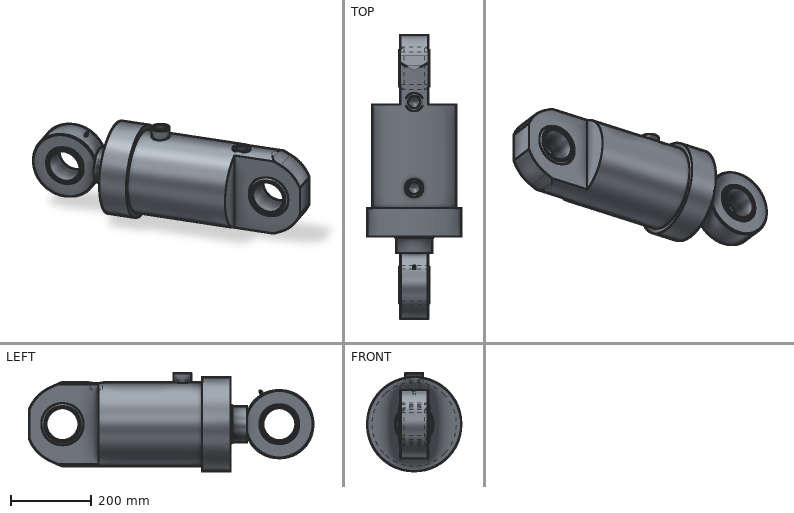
import cadquery as cq
import math


pin_spacing = 540.0
eye_width = 70.0

barrel_diameter = 210.0
flange_diameter = 235.0
barrel_shoulder_y = -90.0
flange_back_y = -348.0
flange_length = 71.0
flange_front_y = flange_back_y - flange_length

lip_diameter = 96.0
lip_tip_diameter = 93.0
lip_length = 4.0
lip_front_y = flange_front_y - lip_length

base_end_y = 83.0
base_arc_radius = 100.0
base_arc_center_y = -10.0
base_slope_angle = 25.0
base_blend_radius = 30.0

port_diameter = 45.0
port_hole_diameter = 30.29
drill_point_angle = 118.0
base_port_y = -84.0
base_port_seat_depth = 2.0
head_port_y = -298.5
overall_height = 245.5
head_port_top_z = overall_height - flange_diameter / 2
head_port_chamfer = 1.2
base_port_hole_depth = 15.0
head_port_hole_depth = 18.0

rod_diameter = 90.0
rod_shank_end_to_pin = 80.0
rod_shank_end_y = rod_shank_end_to_pin - pin_spacing
rod_eye_diameter = 170.0
rod_eye_chamfer = 2.0

nipple_tilt = 30.0
nipple_base_diameter = 6.0
nipple_neck_diameter = 4.0
nipple_tip_diameter = 3.0
nipple_base_height = 4.0
nipple_neck_height = 2.0
nipple_head_height = 5.0
nipple_root_depth = 2.0

bearing_bore = 80.0
bearing_width = 75.0
bearing_face_diameter = 90.0
base_bearing_seat = 105.0
rod_bearing_seat = 99.0


def cylinder_along_y(diameter, y_start, y_end):
    """Solid cylinder on the main axis from y_start down to y_end."""
    return cq.Workplane("XZ", origin=(0, y_start, 0)).circle(diameter / 2).extrude(y_start - y_end)


def cylinder_along_x(diameter, length, y_center):
    """Solid cylinder across the part, centred on X = 0."""
    return cq.Workplane("YZ", origin=(0, y_center, 0)).circle(diameter / 2).extrude(length / 2, both=True)


def base_eye():
    """Flat-sided eye trimmed to the barrel's round and to the rounded end outline."""
    top_z = barrel_diameter / 2
    slope = math.radians(base_slope_angle)
    flat_half_height = math.sqrt(base_arc_radius**2 - (base_end_y - base_arc_center_y) ** 2)
    flat_angle = math.atan2(flat_half_height, base_end_y - base_arc_center_y)
    arc_end_angle = math.pi / 2 - slope
    arc_middle_angle = (flat_angle + arc_end_angle) / 2

    def arc_point(angle):
        return (
            base_arc_center_y + base_arc_radius * math.cos(angle),
            base_arc_radius * math.sin(angle),
        )

    arc_end = arc_point(arc_end_angle)
    corner_y = arc_end[0] - (top_z - arc_end[1]) / math.tan(slope)
    upper_half = (
        cq.Workplane("YZ")
        .moveTo(barrel_shoulder_y, 0)
        .lineTo(base_end_y, 0)
        .lineTo(base_end_y, flat_half_height)
        .threePointArc(arc_point(arc_middle_angle), arc_end)
        .lineTo(corner_y, top_z)
        .lineTo(barrel_shoulder_y, top_z)
        .close()
        .extrude(eye_width / 2, both=True)
        .edges(cq.selectors.NearestToPointSelector((0, corner_y, top_z)))
        .fillet(base_blend_radius)
    )
    plate = upper_half.union(upper_half.mirror("XY"))
    return plate.intersect(cylinder_along_y(barrel_diameter, base_end_y, barrel_shoulder_y))


def port_hole(y_center, top_z, depth):
    """Drilled hole with a conical bottom, as a cutting body."""
    radius = port_hole_diameter / 2
    point_height = radius / math.tan(math.radians(drill_point_angle / 2))
    return (
        cq.Workplane("XZ", origin=(0, y_center, 0))
        .moveTo(0, top_z)
        .lineTo(radius, top_z)
        .lineTo(radius, top_z - depth)
        .lineTo(0, top_z - depth - point_height)
        .close()
        .revolve(360, (0, 0, 0), (0, 1, 0))
    )


def make_barrel():
    tube = cylinder_along_y(barrel_diameter, barrel_shoulder_y, flange_back_y)
    flange = cylinder_along_y(flange_diameter, flange_back_y, flange_front_y)
    lip = (
        cq.Workplane("XZ", origin=(0, flange_front_y, 0))
        .circle(lip_diameter / 2)
        .workplane(offset=lip_length)
        .circle(lip_tip_diameter / 2)
        .loft()
    )
    head_port = (
        cq.Workplane("XY", origin=(0, head_port_y, 0))
        .circle(port_diameter / 2)
        .extrude(head_port_top_z)
        .faces(">Z")
        .chamfer(head_port_chamfer)
    )
    base_seat_z = barrel_diameter / 2 - base_port_seat_depth
    base_seat = (
        cq.Workplane("XY", origin=(0, base_port_y, base_seat_z))
        .circle(port_diameter / 2)
        .extrude(base_port_seat_depth)
    )
    return (
        tube.union(flange)
        .union(lip)
        .union(base_eye())
        .union(head_port)
        .cut(port_hole(head_port_y, head_port_top_z, head_port_hole_depth))
        .cut(base_seat)
        .cut(port_hole(base_port_y, base_seat_z, base_port_hole_depth))
        .cut(cylinder_along_x(base_bearing_seat, eye_width, 0))
    )


def grease_nipple():
    """Nipple with a round base, a narrow neck and a tapered head, rooted in the rod eye."""
    eye_radius = rod_eye_diameter / 2
    base_top = eye_radius + nipple_base_height
    neck_top = base_top + nipple_neck_height
    head_top = neck_top + nipple_head_height
    upright = (
        cq.Workplane("XZ")
        .moveTo(0, eye_radius - nipple_root_depth)
        .lineTo(nipple_base_diameter / 2, eye_radius - nipple_root_depth)
        .lineTo(nipple_base_diameter / 2, base_top)
        .lineTo(nipple_neck_diameter / 2, base_top)
        .lineTo(nipple_neck_diameter / 2, neck_top)
        .lineTo(nipple_base_diameter / 2, neck_top)
        .lineTo(nipple_tip_diameter / 2, head_top)
        .lineTo(0, head_top)
        .close()
        .revolve(360, (0, 0, 0), (0, 1, 0))
    )
    return upright.rotate((0, 0, 0), (1, 0, 0), -nipple_tilt).translate((0, -pin_spacing, 0))


def make_rod():
    shank = cylinder_along_y(rod_diameter, lip_front_y, rod_shank_end_y)
    eye_blank = cylinder_along_x(rod_eye_diameter, eye_width, -pin_spacing)
    eye = eye_blank.faces("<X or >X").chamfer(rod_eye_chamfer)
    return (
        shank.union(eye)
        .union(grease_nipple())
        .cut(cylinder_along_x(rod_bearing_seat, eye_width, -pin_spacing))
    )


def make_bearing(seat_diameter, y_center):
    """Plain bearing that fills its seat and bulges out as a sphere to its narrower end faces."""
    bore_radius = bearing_bore / 2
    seat_radius = seat_diameter / 2
    face_radius = bearing_face_diameter / 2
    half_width = bearing_width / 2
    sphere_radius = math.hypot(half_width, face_radius)
    seat_half_width = math.sqrt(sphere_radius**2 - seat_radius**2)
    middle_x = (half_width + seat_half_width) / 2
    middle_radius = math.sqrt(sphere_radius**2 - middle_x**2)
    return (
        cq.Workplane("XY", origin=(0, y_center, 0))
        .moveTo(-half_width, bore_radius)
        .lineTo(half_width, bore_radius)
        .lineTo(half_width, face_radius)
        .threePointArc((middle_x, middle_radius), (seat_half_width, seat_radius))
        .lineTo(-seat_half_width, seat_radius)
        .threePointArc((-middle_x, middle_radius), (-half_width, face_radius))
        .close()
        .revolve(360, (0, 0, 0), (1, 0, 0))
    )


barrel = make_barrel()
rod = make_rod()
base_bearing = make_bearing(base_bearing_seat, 0)
rod_bearing = make_bearing(rod_bearing_seat, -pin_spacing)

result = cq.Compound.makeCompound([barrel.val(), rod.val(), base_bearing.val(), rod_bearing.val()])